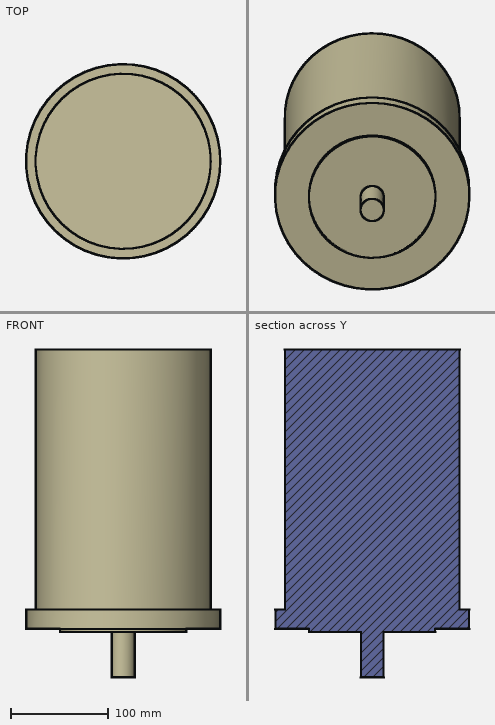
import cadquery as cq

total_height = 337.0

body_diameter = 180.0

flange_diameter = 200.0
flange_thickness = 20.0

spigot_diameter = 130.0
spigot_height = 3.5

shaft_diameter = 24.0
shaft_length = 46.5

spigot_bottom = shaft_length
flange_bottom = spigot_bottom + spigot_height
body_bottom = flange_bottom + flange_thickness
body_height = total_height - body_bottom


def disc(diameter, bottom, height):
    """Cylinder on the Z axis, rising from the given level."""
    return cq.Workplane("XY").workplane(offset=bottom).circle(diameter / 2).extrude(height)


shaft = disc(shaft_diameter, 0, shaft_length)
spigot = disc(spigot_diameter, spigot_bottom, spigot_height)
flange = disc(flange_diameter, flange_bottom, flange_thickness)
body = disc(body_diameter, body_bottom, body_height)

result = shaft.union(spigot).union(flange).union(body)